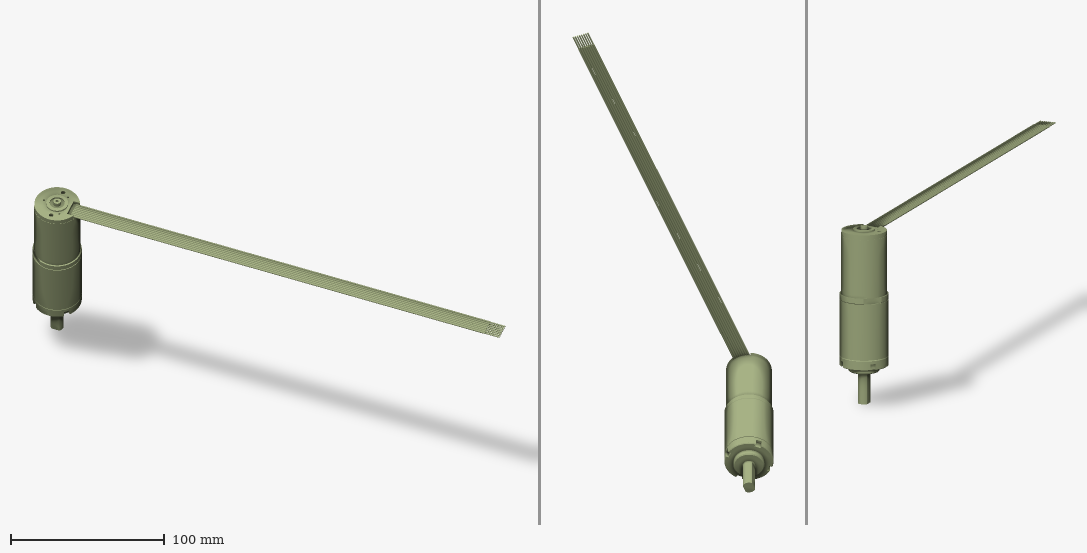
import cadquery as cq

GEARBOX_DIAMETER = 32.0
GEARBOX_LENGTH = 48.5
FLANGE_THICKNESS = 7.0
RING_THICKNESS = 4.0
EDGE_CHAMFER = 0.5
BOSS_DIAMETER = 20.2
BOSS_HEIGHT = 4.0
BOSS_CHAMFER = 0.5

SHAFT_DIAMETER = 8.5
SHAFT_LENGTH = 25.5
SHAFT_ACROSS_FLATS = 6.5
COLLAR_LENGTH = 1.0

NOTCH_COUNT = 4
NOTCH_WIDTH = 4.2
NOTCH_HEIGHT = 4.2
NOTCH_DEPTH = 2.3
WRENCH_FLAT_DISTANCE = 14.7
WRENCH_FLAT_ANGLE = 225

CAN_DIAMETER = 30.0
MOTOR_LENGTH = 42.5
CAP_HEIGHT = 3.3
CAP_DIAMETER = 29.7
BEARING_DIAMETER = 14.5
BEARING_HEIGHT = 1.0
RECESS_DIAMETER = 9.8
REAR_SHAFT_DIAMETER = 5.0
REAR_SHAFT_HEIGHT = 2.5
CENTRE_HOLE_DIAMETER = 2.0
CENTRE_HOLE_DEPTH = 1.5

SCREW_HOLE_DIAMETER = 3.0
SCREW_HOLE_RADIUS = 10.8
SCREW_HOLE_COUNT = 2
SCREW_HOLE_START_ANGLE = 90
SMALL_HOLE_DIAMETER = 1.3
SMALL_HOLE_RADIUS = 9.0
SMALL_HOLE_COUNT = 3
SMALL_HOLE_START_ANGLE = 60
CAP_HOLE_DEPTH = 2.3

WIRE_COUNT = 8
WIRE_DIAMETER = 1.37
CONDUCTOR_DIAMETER = 1.0
CABLE_WIDTH = 11.5
BARE_LENGTH = 10.5
OVERALL_LENGTH = 326.5
CABLE_START = 11.5
CABLE_END = OVERALL_LENGTH - GEARBOX_DIAMETER / 2
OUTLET_START = 9.0
OUTLET_WIDTH = 12.0
OUTLET_DEPTH = 2.3

RING_BOTTOM = GEARBOX_LENGTH - RING_THICKNESS
MOTOR_TOP = GEARBOX_LENGTH + MOTOR_LENGTH
CAP_BOTTOM = MOTOR_TOP - CAP_HEIGHT
OUTLET_FLOOR = MOTOR_TOP - OUTLET_DEPTH
WIRE_SINK = 0.15
WIRE_Z = OUTLET_FLOOR + WIRE_DIAMETER / 2 - WIRE_SINK
WIRE_PITCH = (CABLE_WIDTH - WIRE_DIAMETER) / (WIRE_COUNT - 1)
BARE_START = CABLE_END - BARE_LENGTH


def disc(diameter, bottom, height):
    """Upright cylinder on the Z axis."""
    return cq.Workplane("XY").workplane(offset=bottom).circle(diameter / 2).extrude(height)


def rod(diameter, start, end, y):
    """Cylinder along X at the height of the wires."""
    return (
        cq.Workplane("YZ", origin=(start, y, WIRE_Z))
        .circle(diameter / 2)
        .extrude(end - start)
    )


def output_shaft():
    """Shaft with two opposite flats facing -Y and +Y, left round next to the boss."""
    round_length = BOSS_HEIGHT + COLLAR_LENGTH
    round_part = disc(SHAFT_DIAMETER, -round_length, round_length)
    flats_length = SHAFT_LENGTH - round_length
    flat_bar = (
        cq.Workplane("XY")
        .workplane(offset=-SHAFT_LENGTH)
        .rect(SHAFT_DIAMETER, SHAFT_ACROSS_FLATS)
        .extrude(flats_length)
    )
    flatted_part = disc(SHAFT_DIAMETER, -SHAFT_LENGTH, flats_length).intersect(flat_bar)
    return round_part.union(flatted_part)


def flange_notches():
    """Notches through the rim of the flange, open downward, midway between the axes."""
    outer_radius = GEARBOX_DIAMETER / 2
    notch = cq.Workplane("XY").box(
        2 * NOTCH_DEPTH, NOTCH_WIDTH, NOTCH_HEIGHT, centered=(True, True, False)
    ).translate((outer_radius, 0, 0))
    step = 360 / NOTCH_COUNT
    notches = cq.Workplane("XY")
    for i in range(NOTCH_COUNT):
        notches = notches.add(notch.rotate((0, 0, 0), (0, 0, 1), step * (i + 0.5)))
    return notches.combine()


def wrench_flat():
    """Block that cuts a flat into the coupling ring, facing (-X, -Y)."""
    flat = cq.Workplane("XY").box(
        GEARBOX_DIAMETER, GEARBOX_DIAMETER, RING_THICKNESS, centered=(False, True, False)
    ).translate((WRENCH_FLAT_DISTANCE, 0, RING_BOTTOM))
    return flat.rotate((0, 0, 0), (0, 0, 1), WRENCH_FLAT_ANGLE)


def make_gearbox():
    flange = disc(GEARBOX_DIAMETER, 0, FLANGE_THICKNESS).edges().chamfer(EDGE_CHAMFER)
    sleeve = disc(GEARBOX_DIAMETER, FLANGE_THICKNESS, RING_BOTTOM - FLANGE_THICKNESS)
    ring = disc(GEARBOX_DIAMETER, RING_BOTTOM, RING_THICKNESS).faces("<Z").chamfer(EDGE_CHAMFER)
    boss = disc(BOSS_DIAMETER, -BOSS_HEIGHT, BOSS_HEIGHT).faces("<Z").chamfer(BOSS_CHAMFER)
    return (
        flange.cut(flange_notches())
        .union(sleeve)
        .union(ring.cut(wrench_flat()))
        .union(boss)
        .union(output_shaft())
    )


def cap_holes(count, diameter, radius, start_angle):
    return (
        cq.Workplane("XY")
        .workplane(offset=MOTOR_TOP - CAP_HOLE_DEPTH)
        .polarArray(radius, start_angle, 360, count)
        .circle(diameter / 2)
        .extrude(CAP_HOLE_DEPTH)
    )


def cable_outlet():
    """Recess in the cap, open at the top and toward +X."""
    return cq.Workplane("XY").box(
        CAN_DIAMETER, OUTLET_WIDTH, OUTLET_DEPTH, centered=(False, True, False)
    ).translate((OUTLET_START, 0, OUTLET_FLOOR))


def motor_housing():
    can = disc(CAN_DIAMETER, GEARBOX_LENGTH, MOTOR_LENGTH - CAP_HEIGHT)
    cap = disc(CAP_DIAMETER, CAP_BOTTOM, CAP_HEIGHT)
    bearing = disc(BEARING_DIAMETER, MOTOR_TOP, BEARING_HEIGHT)
    recess = disc(RECESS_DIAMETER, MOTOR_TOP, BEARING_HEIGHT)
    rear_shaft = disc(REAR_SHAFT_DIAMETER, MOTOR_TOP, REAR_SHAFT_HEIGHT)
    centre_hole = disc(
        CENTRE_HOLE_DIAMETER, MOTOR_TOP + REAR_SHAFT_HEIGHT - CENTRE_HOLE_DEPTH, CENTRE_HOLE_DEPTH
    )
    return (
        can.union(cap)
        .union(bearing.cut(recess))
        .union(rear_shaft.cut(centre_hole))
        .cut(cap_holes(SCREW_HOLE_COUNT, SCREW_HOLE_DIAMETER, SCREW_HOLE_RADIUS, SCREW_HOLE_START_ANGLE))
        .cut(cap_holes(SMALL_HOLE_COUNT, SMALL_HOLE_DIAMETER, SMALL_HOLE_RADIUS, SMALL_HOLE_START_ANGLE))
        .cut(cable_outlet())
    )


def make_motor():
    """Motor with its cable: each wire is joined to the housing at the outlet floor."""
    motor = motor_housing()
    for i in range(WIRE_COUNT):
        y = (i - (WIRE_COUNT - 1) / 2) * WIRE_PITCH
        motor = motor.union(rod(WIRE_DIAMETER, CABLE_START, BARE_START, y))
        motor = motor.union(rod(CONDUCTOR_DIAMETER, BARE_START, CABLE_END, y))
    return motor


gearbox = make_gearbox()
motor = make_motor()
result = cq.Compound.makeCompound([gearbox.val(), motor.val()])